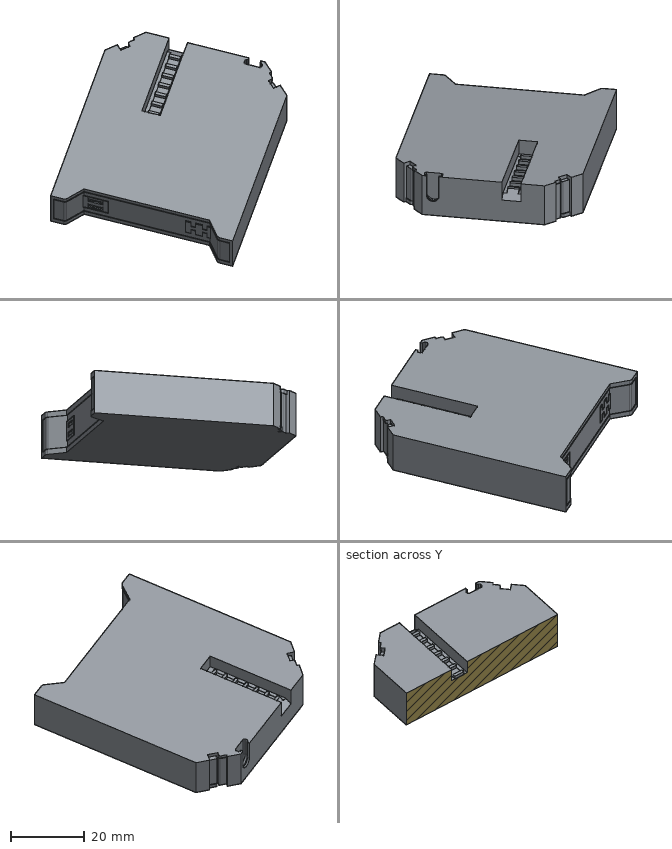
import cadquery as cq

WIDTH = 52.0
LENGTH = 59.92
THICKNESS = 12.0
HALF_WIDTH = WIDTH / 2
BACK = LENGTH / 2
FRONT = -LENGTH / 2
TOP = THICKNESS / 2
CORNER_CHAMFER = 9.0
CORNER_ANGLE = 45
FOOT_TIP = 4.25
FOOT_ROOT = 8.1
FOOT_HEIGHT = 4.82
FOOT_RADIUS = 1.15
FRONT_FACE = FRONT + FOOT_HEIGHT
OVERCUT = 1.0

PANEL_DEPTH = 0.2
PANEL_SIDE_MARGIN = 0.9
PANEL_EDGE_MARGIN = 1.5
PANEL_FLOOR = FRONT_FACE + PANEL_DEPTH

MARK_INNER_X = 11.05
MARK_OUTER_X = HALF_WIDTH - FOOT_ROOT + 2 * PANEL_DEPTH
MARK_HEIGHT = 5.45
LABEL_RISE = PANEL_DEPTH
LABEL_SLOT_START = 1.5
LABEL_SLOT_LENGTH = 4.27
LABEL_SLOT_WIDTH = 1.17
LABEL_SLOT_OFFSET = 1.29
LABEL_SLOT_DEPTH = 0.4
COMB_RISE = PANEL_DEPTH
COMB_BAR_HEIGHT = 1.55
COMB_GAP = 1.3
COMB_FIRST_TOOTH = 1.55
COMB_TOOTH = 2.0

SEAT_HALF_LENGTH = 2.5
SEAT_DEPTH = 0.7
SEAT_RIM = 1.1
SEAT_SINK = 0.25
SLOT_DEPTH = 2.1
SLOT_END = 0.37
TAB_END = -0.1
NOSE_RADIUS = 0.5

CHANNEL_LEFT = -10.4
CHANNEL_WIDTH = 5.26
CHANNEL_FRONT = 4.5
CHANNEL_DEPTH = 4.1
CHANNEL_FLOOR = TOP - CHANNEL_DEPTH
END_PAD_LENGTH = 1.7
END_PAD_DROP = 0.1
RAMP_LENGTH = 1.75
BAR_WIDTH = 3.15
BAR_LEFT = CHANNEL_LEFT + (CHANNEL_WIDTH - BAR_WIDTH) / 2
BAR_LENGTH = 0.9
BAR_RISE = 0.9
BAR_PITCH = 3.29
BAR_COUNT = 7
CELL_DROP = 0.1
FIRST_BAR_FROM_BACK = 2.9
FIRST_BAR_BACK = BACK - FIRST_BAR_FROM_BACK
RAMP_SLOPE = BAR_RISE / (FIRST_BAR_FROM_BACK - RAMP_LENGTH)

SCREW_X = 14.1
NECK_WIDTH = 3.4
NECK_LENGTH = 0.7
HEAD_WIDTH = 5.0
HEAD_LENGTH = 1.5
HEAD_CHAMFER = 0.4


def block(x_min, x_max, y_min, y_max, z_min, z_max):
    """Axis-aligned box given by its limits."""
    size = (x_max - x_min, y_max - y_min, z_max - z_min)
    return cq.Workplane("XY").box(*size, centered=False).translate((x_min, y_min, z_min))


def plain_body():
    """Housing prism with chamfered back corners and two rounded feet."""
    half = [
        (HALF_WIDTH - CORNER_CHAMFER, BACK),
        (HALF_WIDTH, BACK - CORNER_CHAMFER),
        (HALF_WIDTH, FRONT),
        (HALF_WIDTH - FOOT_TIP, FRONT),
        (HALF_WIDTH - FOOT_ROOT, FRONT_FACE),
    ]
    outline = half + [(-x, y) for x, y in reversed(half)]
    body = cq.Workplane("XY").workplane(offset=-TOP).polyline(outline).close().extrude(THICKNESS)
    tip_x = HALF_WIDTH - FOOT_TIP
    for side in (-1, 1):
        tip_edge = cq.selectors.NearestToPointSelector((side * tip_x, FRONT, 0))
        body = body.edges("|Z").edges(tip_edge).fillet(FOOT_RADIUS)
    return body


def panel_cutter(body):
    """Thin skin between the front outline and the same outline set inwards."""
    inner = body.faces(">Z").wires().toPending().offset2D(-PANEL_DEPTH, "intersection")
    inner = inner.extrude(-THICKNESS, combine=False)
    half_length = HALF_WIDTH - PANEL_SIDE_MARGIN
    half_height = TOP - PANEL_EDGE_MARGIN
    region = block(-half_length, half_length, FRONT - OVERCUT, FRONT_FACE + OVERCUT,
                   -half_height, half_height)
    return region.cut(inner)


def panel_block(x_min, x_max, rise, height):
    """Raised pad on the panel floor, centred in the thickness."""
    return block(x_min, x_max, PANEL_FLOOR - rise, PANEL_FLOOR + PANEL_DEPTH, -height / 2, height / 2)


def label_mark():
    """Low pad running into the left foot."""
    return panel_block(-MARK_OUTER_X, -MARK_INNER_X, LABEL_RISE, MARK_HEIGHT)


def label_slots():
    """Two parallel slots sunk into the label."""
    x_max = -MARK_INNER_X - LABEL_SLOT_START
    slot = block(x_max - LABEL_SLOT_LENGTH, x_max,
                 PANEL_FLOOR - LABEL_RISE, PANEL_FLOOR - LABEL_RISE + LABEL_SLOT_DEPTH,
                 -LABEL_SLOT_WIDTH / 2, LABEL_SLOT_WIDTH / 2)
    upper = slot.translate((0, 0, LABEL_SLOT_OFFSET))
    return upper.union(slot.translate((0, 0, -LABEL_SLOT_OFFSET)))


def comb_mark():
    """Bar with three cross teeth, running into the right foot; tooth tips are bevelled."""
    comb = panel_block(MARK_INNER_X, MARK_OUTER_X, COMB_RISE, COMB_BAR_HEIGHT)
    second = MARK_INNER_X + COMB_FIRST_TOOTH + COMB_GAP
    third = second + COMB_TOOTH + COMB_GAP
    teeth = [
        (MARK_INNER_X, MARK_INNER_X + COMB_FIRST_TOOTH),
        (second, second + COMB_TOOTH),
        (third, MARK_OUTER_X),
    ]
    for x_min, x_max in teeth:
        tooth = panel_block(x_min, x_max, COMB_RISE, MARK_HEIGHT)
        comb = comb.union(tooth.faces("<Y").edges("|X").chamfer(COMB_RISE))
    return comb


def place_at_corner(shape):
    """Move a shape built on the X axis to the middle of the left corner face."""
    middle = (-HALF_WIDTH + CORNER_CHAMFER / 2, BACK - CORNER_CHAMFER / 2, 0)
    return shape.rotate((0, 0, 0), (0, 0, 1), CORNER_ANGLE).translate(middle)


def seat_block(s_min, s_max, depth_min, depth_max, z_min, z_max):
    """Box at the left corner: s runs along the corner face, depth goes into the part."""
    straight = block(s_min, s_max, -depth_max, -depth_min, z_min, z_max)
    return place_at_corner(straight)


def rounded_nose(s_min, s_max, depth, side, radius, z_min, z_max):
    """Slab from a given depth to the slot floor, its outer edge rounded on one end."""
    slab = block(s_min, s_max, -SLOT_DEPTH, -depth, z_min, z_max)
    slab = slab.faces(">Y").edges(side).fillet(radius)
    return place_at_corner(slab)


def cut_left_seat(body):
    """Latch seat: stepped recess, a slot across the thickness and a tab standing in it."""
    body = body.cut(seat_block(-SEAT_HALF_LENGTH, SEAT_HALF_LENGTH, -OVERCUT, SLOT_DEPTH, -TOP, TOP))
    layer = TOP - SEAT_RIM
    sunk = SEAT_DEPTH + SEAT_SINK
    sunk_radius = NOSE_RADIUS - SEAT_SINK
    noses = [
        rounded_nose(SLOT_END, SEAT_HALF_LENGTH, SEAT_DEPTH, "<X", NOSE_RADIUS, layer, TOP),
        rounded_nose(SLOT_END, SEAT_HALF_LENGTH, sunk, "<X", sunk_radius, -TOP, layer),
        rounded_nose(-SEAT_HALF_LENGTH, TAB_END, sunk, ">X", sunk_radius, -layer, layer),
        rounded_nose(-SEAT_HALF_LENGTH, TAB_END, SEAT_DEPTH, ">X", NOSE_RADIUS, -TOP, -layer),
    ]
    for nose in noses:
        body = body.union(nose)
    return body


def channel_cutter():
    """Open-topped channel from the back face, its floor ramping down to the back."""
    pad_back = CHANNEL_FRONT + END_PAD_LENGTH
    side_profile = [
        (CHANNEL_FRONT, TOP),
        (CHANNEL_FRONT, CHANNEL_FLOOR - END_PAD_DROP),
        (pad_back, CHANNEL_FLOOR - END_PAD_DROP),
        (pad_back, CHANNEL_FLOOR),
        (BACK - RAMP_LENGTH, CHANNEL_FLOOR),
        (BACK, CHANNEL_FLOOR - RAMP_LENGTH * RAMP_SLOPE),
        (BACK, TOP),
    ]
    channel = cq.Workplane("YZ").polyline(side_profile).close().extrude(CHANNEL_WIDTH)
    return channel.translate((CHANNEL_LEFT, 0, 0))


def contact_bars():
    """Row of cross bars on the channel floor; the ramp climbs to the first one."""
    ramp_top = [
        (BACK - RAMP_LENGTH, CHANNEL_FLOOR),
        (FIRST_BAR_BACK, CHANNEL_FLOOR + BAR_RISE),
        (FIRST_BAR_BACK, CHANNEL_FLOOR),
    ]
    bars = cq.Workplane("YZ").polyline(ramp_top).close().extrude(BAR_WIDTH).translate((BAR_LEFT, 0, 0))
    for i in range(BAR_COUNT):
        bar_back = FIRST_BAR_BACK - i * BAR_PITCH
        bars = bars.union(block(BAR_LEFT, BAR_LEFT + BAR_WIDTH, bar_back - BAR_LENGTH, bar_back,
                                CHANNEL_FLOOR - CELL_DROP, CHANNEL_FLOOR + BAR_RISE))
    return bars


def cell_cutter():
    """Shallow strip that lowers the floor between the bars."""
    return block(BAR_LEFT, BAR_LEFT + BAR_WIDTH, CHANNEL_FRONT + END_PAD_LENGTH,
                 FIRST_BAR_BACK, CHANNEL_FLOOR - CELL_DROP, CHANNEL_FLOOR)


def u_slot(width, y_back, length):
    """Slot open to the top with a round bottom centred in the thickness."""
    radius = width / 2
    rim = TOP + OVERCUT
    profile = (
        cq.Workplane("XZ", origin=(SCREW_X, y_back, 0))
        .moveTo(-radius, rim)
        .lineTo(-radius, 0)
        .threePointArc((0, -radius), (radius, 0))
        .lineTo(radius, rim)
        .close()
    )
    return profile.extrude(length)


def screw_slot():
    """Narrow neck at the back face leading to a wider, bevelled head chamber."""
    neck = u_slot(NECK_WIDTH, BACK, NECK_LENGTH + HEAD_CHAMFER)
    head = u_slot(HEAD_WIDTH, BACK - NECK_LENGTH, HEAD_LENGTH)
    return neck.union(head.faces("<Y or >Y").edges().chamfer(HEAD_CHAMFER))


plain = plain_body()
body = plain.cut(panel_cutter(plain))
body = body.union(label_mark()).cut(label_slots()).union(comb_mark())
for _ in range(2):
    body = cut_left_seat(body).mirror("YZ")
body = body.cut(channel_cutter()).cut(cell_cutter()).union(contact_bars())
result = body.cut(screw_slot())